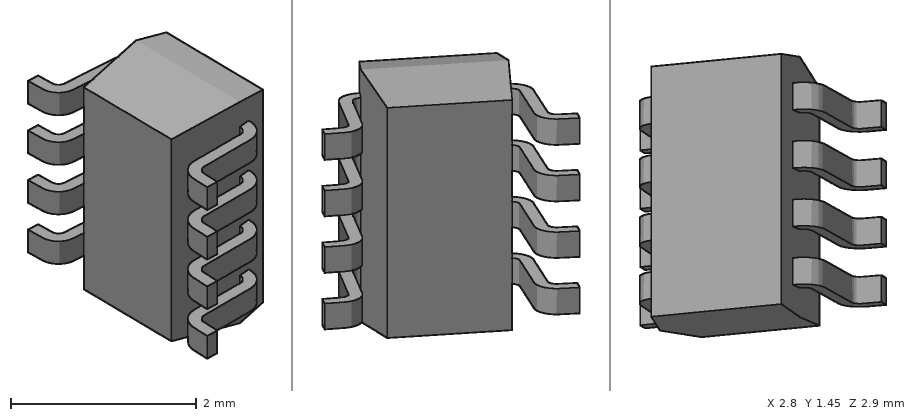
import cadquery as cq
import math

span = 2.8
body_length = 2.9
body_width = 1.625
total_height = 1.45
standoff = 0.15
back_depth = 0.4
draft_angle = 8.0

leads_per_side = 4
lead_pitch = 0.65
lead_width = 0.3
lead_thickness = 0.15
inner_radius = 0.1
foot_length = 0.218
lead_tilt = 2.0

half_width = body_width / 2
parting_y = total_height - back_depth
front_depth = parting_y - standoff
outer_radius = inner_radius + lead_thickness
tilt = math.radians(lead_tilt)


def make_housing():
    """Block that tapers both ways from its widest section at the parting plane."""
    parting_point = (0, parting_y, 0)
    front = (
        cq.Workplane("XZ", origin=parting_point)
        .rect(body_width, body_length)
        .extrude(front_depth, taper=draft_angle)
    )
    back = (
        cq.Workplane("ZX", origin=parting_point)
        .rect(body_length, body_width)
        .extrude(back_depth, taper=draft_angle)
    )
    return front.union(back)


def polar(center, radius, angle):
    """Point at the given angle (radians from +X toward +Y) around a centre."""
    return (center[0] + radius * math.cos(angle), center[1] + radius * math.sin(angle))


def make_lead():
    """Gull-wing lead on the +X side, centred on Z = 0, ending on the sloped housing side."""
    tip_x = span / 2
    lead_top = parting_y + lead_thickness

    ankle = (
        tip_x - foot_length * math.cos(tilt) + outer_radius * math.sin(tilt),
        foot_length * math.sin(tilt) + outer_radius * math.cos(tilt),
    )

    shoulder_y = parting_y - inner_radius
    rise = shoulder_y - ankle[1]
    run = (inner_radius + outer_radius + rise * math.sin(tilt)) / math.cos(tilt)
    shoulder = (ankle[0] - run, shoulder_y)

    up = math.pi / 2
    shoulder_end = tilt
    shoulder_mid = (up + shoulder_end) / 2
    ankle_start = math.pi + tilt
    ankle_end = 1.5 * math.pi - tilt
    ankle_mid = (ankle_start + ankle_end) / 2

    housing_end_x = half_width - lead_thickness * math.tan(math.radians(draft_angle))
    tip_height = lead_thickness / math.cos(tilt)

    profile = (
        cq.Workplane("XY", origin=(0, 0, -lead_width / 2))
        .moveTo(housing_end_x, lead_top)
        .lineTo(*polar(shoulder, outer_radius, up))
        .threePointArc(
            polar(shoulder, outer_radius, shoulder_mid),
            polar(shoulder, outer_radius, shoulder_end),
        )
        .lineTo(*polar(ankle, inner_radius, ankle_start))
        .threePointArc(
            polar(ankle, inner_radius, ankle_mid),
            polar(ankle, inner_radius, ankle_end),
        )
        .lineTo(tip_x, tip_height)
        .lineTo(tip_x, 0)
        .lineTo(*polar(ankle, outer_radius, ankle_end))
        .threePointArc(
            polar(ankle, outer_radius, ankle_mid),
            polar(ankle, outer_radius, ankle_start),
        )
        .lineTo(*polar(shoulder, inner_radius, shoulder_end))
        .threePointArc(
            polar(shoulder, inner_radius, shoulder_mid),
            polar(shoulder, inner_radius, up),
        )
        .lineTo(half_width, parting_y)
        .close()
    )
    return profile.extrude(lead_width)


housing = make_housing()

leads = []
for row_angle in (0, 180):
    for index in range(leads_per_side):
        lead_z = (index - (leads_per_side - 1) / 2) * lead_pitch
        lead = make_lead().rotate((0, 0, 0), (0, 1, 0), row_angle)
        leads.append(lead.translate((0, 0, lead_z)))

result = cq.Compound.makeCompound([housing.val(), *[lead.val() for lead in leads]])